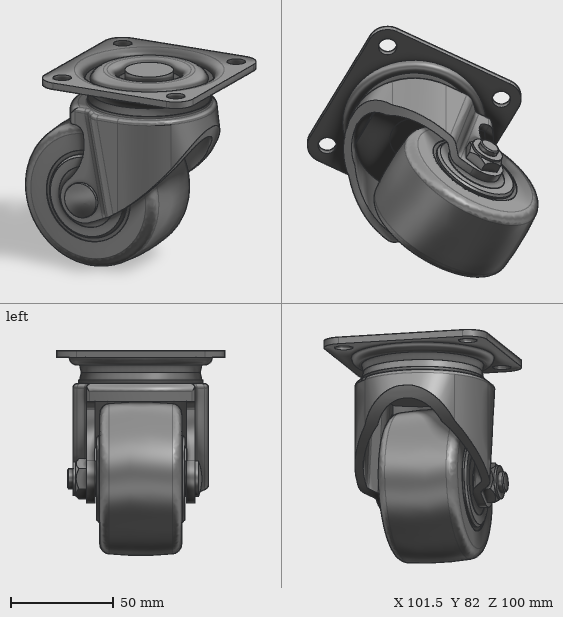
import cadquery as cq
import math


overall_height = 100.0

plate_side = 82.0
plate_thickness = 3.3
plate_corner_radius = 9.6
bolt_hole_spacing = 62.7
bolt_hole_diameter = 8.9
dish_outer_radius = 36.5
dish_rim_width = 2.0
groove_outer_radius = 31.4
groove_inner_radius = 28.9
groove_depth = 4.4
crown_outer_radius = 22.3
crown_inner_radius = 20.5
well_radius = 15.5
dish_bottom = -7.1
dish_under_radius = 34.9
dish_flat_radius = 31.0

ring_end_radius = 29.8
ring_waist_radius = 29.0
ring_height = 7.3
kingpin_radius = 11.9

fork_top = -16.1
sheet_thickness = 4.1
neck_radius = 30.2
neck_fillet = 0.6
front_half_width = 26.4
rear_half_width = 33.1
lip_radius = 41.3
lip_center_x = 3.0
lip_corner_radius = 3.7
lip_fillet = 4.0
lip_bottom = -24.8
top_edge_fillet = 2.0
step_start_x = -21.9
step_angle = math.radians(48)
step_lean = 0.19
step_concave_radius = 3.0
step_convex_radius = 6.4
back_wall_x = 24.2
back_wall_lean = 0.18
lug_radius = 11.9
throat_radius = 25.9
throat_center_height = 28.5
throat_corner_radius = 5.1
tail_x = 34.1
tail_z = -24.5
tail_arc_radius = 96.4

wheel_radius = 37.5
wheel_half_width = 20.0
wheel_crown_drop = 1.3
wheel_edge_fillet = 5.0
trail = 23.0
hub_groove_radius = 23.1
hub_groove_depth = 0.6
hub_radius = 21.2
hub_half_width = 21.5
hub_chamfer = 1.1
hub_recess_radius = 15.4
hub_recess_depth = 0.3
spacer_radius = 8.7

axle_radius = 5.0
axle_end = 35.7
axle_end_chamfer = 0.6
head_radius = 8.7
head_rim = 1.7
head_height = 3.5
nut_corner_radius = 9.8
nut_hex_height = 5.5
nut_collar_radius = 8.1
nut_height = 6.6
nut_chamfer = 1.7

ring_bottom = dish_bottom - ring_height
well_depth = crown_inner_radius - well_radius
fork_ceiling = fork_top - sheet_thickness
axle_x = -trail
axle_z = wheel_radius - overall_height
fork_bottom = axle_z - lug_radius
back_wall_top = fork_top - top_edge_fillet
fork_gap_half_width = front_half_width - sheet_thickness


def cylinder(radius, bottom, top, x=0):
    """Vertical cylinder between two heights."""
    return cq.Workplane("XY", origin=(x, 0, bottom)).circle(radius).extrude(top - bottom)


def axle_plane(y):
    """Plane across the axle line, facing +Y."""
    return cq.Plane(origin=(axle_x, y, axle_z), xDir=(1, 0, 0), normal=(0, 1, 0))


def axle_cylinder(radius, start_y, end_y):
    """Cylinder on the axle line between two Y positions."""
    return cq.Workplane(axle_plane(start_y)).circle(radius).extrude(end_y - start_y)


def revolve_about_axle(profile):
    """Revolve a (radius, Y) profile about the axle line."""
    return profile.revolve(360, (0, 0, 0), (0, 1, 0)).translate((axle_x, 0, axle_z))


def rounding_radius(run, drop):
    """Radius of an arc that starts level and falls by `drop` over `run`."""
    return (run**2 + drop**2) / (2 * drop)


def point_at(center, radius, angle):
    """Point on a circle, with the angle in radians."""
    return (center[0] + radius * math.cos(angle), center[1] + radius * math.sin(angle))


def make_dish():
    """Pressed centre of the plate: groove, rounded crown and kingpin well."""
    rim_radius = dish_outer_radius + dish_rim_width
    groove_rounding = rounding_radius(dish_outer_radius - groove_outer_radius, groove_depth)
    crown_rounding = rounding_radius(groove_inner_radius - crown_outer_radius, groove_depth)
    profile = (
        cq.Workplane("XZ")
        .moveTo(kingpin_radius, dish_bottom)
        .lineTo(dish_flat_radius, dish_bottom)
        .tangentArcPoint((dish_under_radius, -plate_thickness), relative=False)
        .lineTo(rim_radius, -plate_thickness)
        .lineTo(rim_radius, 0)
        .lineTo(dish_outer_radius, 0)
        .radiusArc((groove_outer_radius, -groove_depth), -groove_rounding)
        .lineTo(groove_inner_radius, -groove_depth)
        .radiusArc((crown_outer_radius, 0), -crown_rounding)
        .lineTo(crown_inner_radius, 0)
        .tangentArcPoint((well_radius, -well_depth), relative=False)
        .lineTo(kingpin_radius, -well_depth)
        .close()
    )
    return profile.revolve(360, (0, 0, 0), (0, 1, 0))


def make_plate():
    plate = (
        cq.Workplane("XY", origin=(0, 0, -plate_thickness))
        .rect(plate_side, plate_side)
        .extrude(plate_thickness)
        .edges("|Z")
        .fillet(plate_corner_radius)
        .faces(">Z")
        .workplane()
        .rect(bolt_hole_spacing, bolt_hole_spacing, forConstruction=True)
        .vertices()
        .hole(bolt_hole_diameter)
    )
    opening = cylinder(dish_outer_radius + dish_rim_width, -plate_thickness, 0)
    return plate.cut(opening).union(make_dish())


def make_swivel_ring():
    profile = [
        (kingpin_radius, dish_bottom),
        (ring_end_radius, dish_bottom),
        (ring_waist_radius, (dish_bottom + ring_bottom) / 2),
        (ring_end_radius, ring_bottom),
        (kingpin_radius, ring_bottom),
    ]
    return cq.Workplane("XZ").polyline(profile).close().revolve(360, (0, 0, 0), (0, 1, 0))


def make_kingpin():
    return cylinder(kingpin_radius, fork_ceiling, 0)


def leaning_rear(inset, top):
    """Wide rear part of the fork, whose front edge steps in from the sides and leans forward."""
    narrow = front_half_width - inset
    wide = rear_half_width - inset
    concave = step_concave_radius + inset
    convex = step_convex_radius - inset
    rounding = (concave + convex) * (1 - math.cos(step_angle))
    slope = (wide - narrow - rounding) / math.sin(step_angle)
    start_x = step_start_x + step_lean * (fork_top - top)
    concave_end = (
        start_x + concave * math.sin(step_angle),
        narrow + concave * (1 - math.cos(step_angle)),
    )
    convex_start = (
        concave_end[0] + slope * math.cos(step_angle),
        concave_end[1] + slope * math.sin(step_angle),
    )
    convex_end = (convex_start[0] + convex * math.sin(step_angle), wide)
    half = (
        cq.Workplane("XY", origin=(0, 0, top))
        .moveTo(start_x, 0)
        .lineTo(start_x, narrow)
        .radiusArc(concave_end, -concave)
        .lineTo(*convex_start)
        .radiusArc(convex_end, convex)
        .lineTo(rear_half_width, wide)
        .lineTo(rear_half_width, 0)
        .close()
    )
    height = top - fork_bottom
    lean = cq.Vector(step_lean * height, 0, -height)
    left = cq.Workplane(cq.Solid.extrudeLinear(half.val(), [], lean))
    stadium = cylinder(wide, fork_bottom, top).union(
        cq.Workplane("XY", origin=(-wide, 0, fork_bottom)).rect(2 * wide, 2 * wide).extrude(height)
    )
    return left.union(left.mirror("XZ")).intersect(stadium)


def front_block(inset, top):
    """Narrow front part of the fork, closed by the curved lip."""
    width = 2 * (front_half_width - inset)
    block = (
        cq.Workplane("XY", origin=(-lip_radius / 2, 0, fork_bottom))
        .rect(lip_radius, width)
        .extrude(top - fork_bottom)
    )
    block = block.intersect(cylinder(lip_radius - inset, fork_bottom, top, lip_center_x))
    if inset < lip_corner_radius:
        block = block.edges("|Z").edges("<X").fillet(lip_corner_radius - inset)
    return block


def back_wall(inset):
    """Bulge by which the back wall leans outward below its upper edge."""
    radius = rear_half_width - inset
    half_chord = math.sqrt(radius**2 - back_wall_x**2)
    height = back_wall_top - fork_bottom
    bottom_x = radius + back_wall_lean * height
    return (
        cq.Workplane("XY", origin=(0, 0, back_wall_top))
        .moveTo(back_wall_x, -half_chord)
        .threePointArc((radius, 0), (back_wall_x, half_chord))
        .close()
        .workplane(offset=-height)
        .moveTo(back_wall_x, -half_chord)
        .threePointArc((bottom_x, 0), (back_wall_x, half_chord))
        .close()
        .loft(ruled=True)
    )


def front_slab(half_width):
    """Box below the lip and ahead of the step, from which the axle lugs are shaped."""
    length = lip_radius + step_start_x
    return (
        cq.Workplane("XY", origin=(step_start_x - length / 2, 0, fork_bottom))
        .rect(length, 2 * half_width)
        .extrude(lip_bottom - fork_bottom)
    )


def side_outline():
    """Everything that the side shape of the fork keeps, across its full width."""
    lug = (axle_x, axle_z)
    throat_reach = throat_radius + lug_radius
    throat_rise = math.asin(throat_center_height / throat_reach)
    throat = point_at(lug, throat_reach, math.pi - throat_rise)
    corner_reach = throat_radius - throat_corner_radius
    corner_rise = math.asin((lip_bottom - throat_corner_radius - throat[1]) / corner_reach)
    corner = point_at(throat, corner_reach, corner_rise)
    corner_end = point_at(throat, throat_radius, corner_rise)
    tail_offset = (tail_x - lug[0], tail_z - lug[1])
    tail_distance = math.hypot(*tail_offset)
    tail_reach = tail_arc_radius - lug_radius
    opening = math.acos(
        (tail_distance**2 + tail_reach**2 - tail_arc_radius**2) / (2 * tail_distance * tail_reach)
    )
    tail_angle = math.atan2(tail_offset[1], tail_offset[0]) + opening
    outline = (
        cq.Workplane("XZ", origin=(0, rear_half_width, 0))
        .moveTo(-lip_radius, fork_top)
        .lineTo(-lip_radius, lip_bottom)
        .lineTo(corner[0], lip_bottom)
        .radiusArc(corner_end, throat_corner_radius)
        .radiusArc(point_at(lug, lug_radius, math.pi - throat_rise), throat_radius)
        .threePointArc(
            point_at(lug, lug_radius, (tail_angle - throat_rise) / 2 + math.pi),
            point_at(lug, lug_radius, tail_angle + math.pi),
        )
        .radiusArc((tail_x, tail_z), -tail_arc_radius)
        .lineTo(lip_radius, tail_z)
        .lineTo(lip_radius, fork_top)
        .close()
    )
    return outline.extrude(2 * rear_half_width)


def make_neck():
    """Round seat on the fork head that carries the swivel ring."""
    foot_radius = neck_radius + neck_fillet
    foot_top = fork_top + neck_fillet
    return (
        cq.Workplane("XZ")
        .moveTo(0, fork_top)
        .lineTo(foot_radius, fork_top)
        .radiusArc((neck_radius, foot_top), neck_fillet)
        .lineTo(neck_radius, ring_bottom)
        .lineTo(0, ring_bottom)
        .close()
        .revolve(360, (0, 0, 0), (0, 1, 0))
    )


def make_fork():
    shell = front_block(0, fork_top).union(leaning_rear(0, fork_top))
    shell = shell.faces(">Z").edges().fillet(top_edge_fillet)
    rounded_lip = cylinder(lip_radius, fork_bottom, fork_top, lip_center_x)
    shell = shell.intersect(rounded_lip.faces(">Z").edges().fillet(lip_fillet))
    shell = shell.union(back_wall(0)).union(front_slab(front_half_width))
    cavity = front_block(sheet_thickness, fork_ceiling).union(leaning_rear(sheet_thickness, fork_ceiling))
    cavity = cavity.union(back_wall(sheet_thickness)).union(front_slab(fork_gap_half_width))
    fork = shell.cut(cavity).intersect(side_outline()).union(make_neck())
    fork = fork.cut(cylinder(kingpin_radius, fork_ceiling, ring_bottom))
    return fork.cut(axle_cylinder(axle_radius, -rear_half_width, rear_half_width))


def make_tread():
    """Crowned tyre with rounded edges."""
    edge_radius = wheel_radius - wheel_crown_drop
    profile = (
        cq.Workplane("XY")
        .moveTo(0, -wheel_half_width)
        .lineTo(edge_radius, -wheel_half_width)
        .threePointArc((wheel_radius, 0), (edge_radius, wheel_half_width))
        .lineTo(0, wheel_half_width)
        .close()
    )
    return revolve_about_axle(profile).edges("%CIRCLE").fillet(wheel_edge_fillet)


def make_hub():
    """Hub that stands proud of the tyre on both sides, with a shallow recess around each spacer."""
    hub = axle_cylinder(hub_radius, -hub_half_width, hub_half_width)
    hub = hub.faces("<Y or >Y").edges().chamfer(hub_chamfer)
    recess_floor = hub_half_width - hub_recess_depth
    for end in (-hub_half_width, hub_half_width):
        hub = hub.cut(axle_cylinder(hub_recess_radius, math.copysign(recess_floor, end), end))
    return hub.union(axle_cylinder(spacer_radius, -fork_gap_half_width, fork_gap_half_width))


def make_wheel():
    wheel = make_tread()
    groove_floor = wheel_half_width - hub_groove_depth
    for face in (-wheel_half_width, wheel_half_width):
        wheel = wheel.cut(axle_cylinder(hub_groove_radius, math.copysign(groove_floor, face), face))
    return wheel.union(make_hub()).cut(axle_cylinder(axle_radius, -fork_gap_half_width, fork_gap_half_width))


def make_axle_bolt():
    """Bolt with a domed head on the -Y side."""
    seat = -front_half_width
    rim = seat - head_rim
    crown = seat - head_height
    profile = (
        cq.Workplane("XY")
        .moveTo(0, crown)
        .radiusArc((head_radius, rim), -rounding_radius(head_radius, rim - crown))
        .lineTo(head_radius, seat)
        .lineTo(axle_radius, seat)
        .lineTo(axle_radius, axle_end - axle_end_chamfer)
        .lineTo(axle_radius - axle_end_chamfer, axle_end)
        .lineTo(0, axle_end)
        .close()
    )
    return revolve_about_axle(profile)


def make_nut():
    """Hexagon nut, corner up, with a round locking collar."""
    seat = front_half_width
    hexagon = (
        cq.Workplane(axle_plane(seat))
        .polygon(6, 2 * nut_corner_radius)
        .extrude(nut_hex_height)
        .rotate((axle_x, 0, axle_z), (axle_x, 1, axle_z), 90)
    )
    corner_cone = (
        cq.Workplane(axle_plane(seat))
        .circle(nut_corner_radius)
        .extrude(nut_hex_height)
        .faces(">Y")
        .chamfer(nut_chamfer)
    )
    collar = axle_cylinder(nut_collar_radius, seat, seat + nut_height)
    return hexagon.intersect(corner_cone).union(collar).cut(axle_cylinder(axle_radius, seat, axle_end))


plate = make_plate()
swivel_ring = make_swivel_ring()
kingpin = make_kingpin()
fork = make_fork()
wheel = make_wheel()
axle_bolt = make_axle_bolt()
nut = make_nut()

bodies = [plate, swivel_ring, kingpin, fork, wheel, axle_bolt, nut]
result = cq.Compound.makeCompound([body.solids().val() for body in bodies])